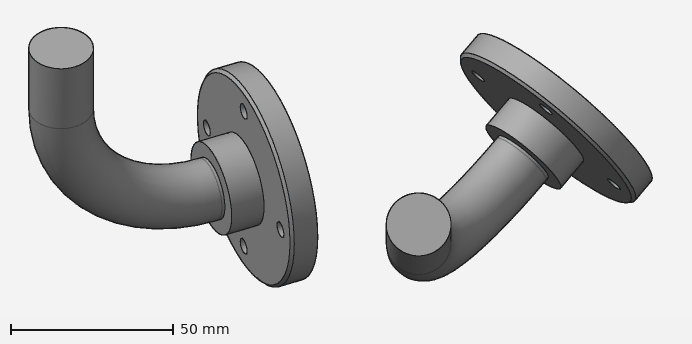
import cadquery as cq

flange_diameter = 70.0
flange_thickness = 9.0
flange_chamfer = 1.0
boss_diameter = 30.0
boss_length = 11.0

hole_count = 4
hole_diameter = 5.0
hole_circle_radius = 27.0

rod_diameter = 20.0
rod_lead_in = 1.0
bend_radius = 50.0
rod_upright_length = 24.0

flange_front_y = -flange_thickness
boss_front_y = flange_front_y - boss_length
bend_start_y = boss_front_y - rod_lead_in
upright_y = bend_start_y - bend_radius
rod_top_z = bend_radius + rod_upright_length


def make_flange():
    """Round wall plate with a chamfered front rim, a central boss and screw holes."""
    plate = (
        cq.Workplane("XZ")
        .circle(flange_diameter / 2)
        .extrude(flange_thickness)
        .faces("<Y")
        .chamfer(flange_chamfer)
    )
    boss = (
        cq.Workplane("XZ", origin=(0, flange_front_y, 0))
        .circle(boss_diameter / 2)
        .extrude(boss_length)
    )
    holes = (
        cq.Workplane("XZ")
        .polarArray(hole_circle_radius, 0, 360, hole_count)
        .circle(hole_diameter / 2)
        .extrude(flange_thickness)
    )
    return plate.union(boss).cut(holes)


def make_rod():
    """Round rod that leaves the boss face, bends 90 degrees and rises vertically."""
    path = (
        cq.Workplane("YZ")
        .moveTo(boss_front_y, 0)
        .lineTo(bend_start_y, 0)
        .tangentArcPoint((upright_y, bend_radius), relative=False)
        .lineTo(upright_y, rod_top_z)
    )
    return (
        cq.Workplane("XZ", origin=(0, boss_front_y, 0))
        .circle(rod_diameter / 2)
        .sweep(path)
    )


flange = make_flange()
rod = make_rod()

result = cq.Compound.makeCompound([flange.val(), rod.val()])